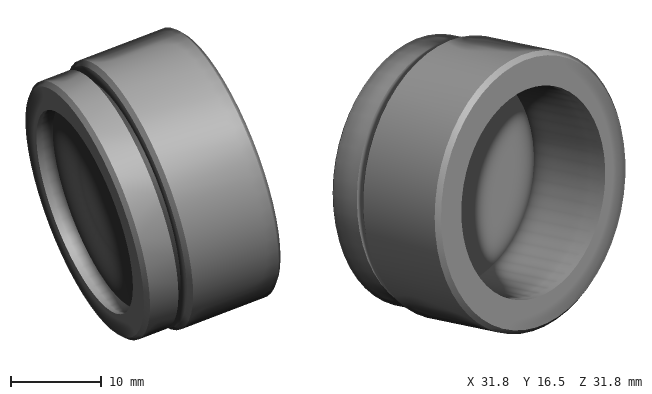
import cadquery as cq
import math

body_diameter = 31.75
total_length = 16.5
collar_diameter = 30.5
collar_length = 4.0
groove_diameter = 27.5
groove_width = 1.0
edge_chamfer = 0.5
bore_diameter = 24.0

lens_recess = 2.0
lens_edge_thickness = 4.0
lens_front_sag = 0.45

body_radius = body_diameter / 2
collar_radius = collar_diameter / 2
groove_radius = groove_diameter / 2
bore_radius = bore_diameter / 2
groove_end = collar_length + groove_width


def revolve_about_y(profile):
    """Turn a closed profile (radius along X) a full circle about the Y axis."""
    return profile.revolve(360, (0, 0, 0), (0, 1, 0))


def make_barrel():
    """Bored barrel: chamfered front collar, relief groove and main body."""
    profile = (
        cq.Workplane("XY")
        .moveTo(bore_radius, 0)
        .lineTo(collar_radius - edge_chamfer, 0)
        .lineTo(collar_radius, edge_chamfer)
        .lineTo(collar_radius, collar_length)
        .lineTo(groove_radius, collar_length)
        .lineTo(groove_radius, groove_end)
        .lineTo(body_radius - edge_chamfer, groove_end)
        .lineTo(body_radius, groove_end + edge_chamfer)
        .lineTo(body_radius, total_length - edge_chamfer)
        .lineTo(body_radius - edge_chamfer, total_length)
        .lineTo(bore_radius, total_length)
        .close()
    )
    return revolve_about_y(profile)


def make_lens():
    """Lens with a concave spherical front and a flat back."""
    sphere_radius = (bore_radius**2 + lens_front_sag**2) / (2 * lens_front_sag)
    centre_y = lens_recess + lens_front_sag - sphere_radius
    half_angle = math.asin(bore_radius / sphere_radius) / 2
    arc_middle = (
        sphere_radius * math.sin(half_angle),
        centre_y + sphere_radius * math.cos(half_angle),
    )
    back_y = lens_recess + lens_edge_thickness
    profile = (
        cq.Workplane("XY")
        .moveTo(0, lens_recess + lens_front_sag)
        .threePointArc(arc_middle, (bore_radius, lens_recess))
        .lineTo(bore_radius, back_y)
        .lineTo(0, back_y)
        .close()
    )
    return revolve_about_y(profile)


barrel = make_barrel()
lens = make_lens()

result = cq.Compound.makeCompound([barrel.val(), lens.val()])